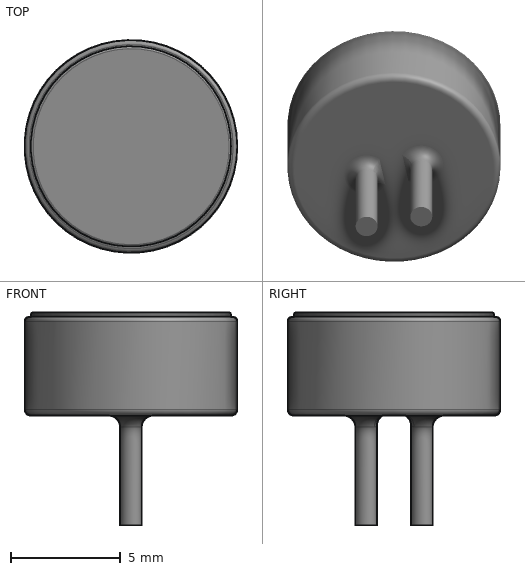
import cadquery as cq

overall_height = 9.7
body_diameter = 9.7
lid_diameter = 9.12
lid_height = 0.2
lid_edge_radius = 0.1
body_top_radius = 0.2
body_bottom_radius = 0.3

pin_diameter = 1.0
pin_length = 5.0
pin_spacing = 2.54
pin_root_radius = 0.5

strip_width = 1.07
strip_length = 2.91
strip_depth = 0.19

body_height = overall_height - pin_length - lid_height
body_top = pin_length + body_height


def make_body():
    """Cylinder with rounded rims, standing on the plane where the pins start."""
    body = cq.Workplane("XY").workplane(offset=pin_length).circle(body_diameter / 2).extrude(body_height)
    body = body.faces(">Z").edges().fillet(body_top_radius)
    return body.faces("<Z").edges().fillet(body_bottom_radius)


def make_lid():
    """Thin raised disc with a rounded upper edge."""
    lid = cq.Workplane("XY").workplane(offset=body_top).circle(lid_diameter / 2).extrude(lid_height)
    return lid.faces(">Z").edges().fillet(lid_edge_radius)


def make_pins():
    """Two straight round pins reaching up to the underside of the body."""
    pin_centers = [(0, -pin_spacing / 2), (0, pin_spacing / 2)]
    return cq.Workplane("XY").pushPoints(pin_centers).circle(pin_diameter / 2).extrude(pin_length)


def make_strip():
    """Block just above the underside, filling the strip between the pins."""
    return cq.Workplane("XY").workplane(offset=pin_length).rect(strip_length, strip_width).extrude(strip_depth)


def fillet_pin_roots(part):
    """Round the circular edges where the pins meet the underside."""
    reach = (pin_spacing + 1.5 * pin_diameter) / 2
    height_margin = 0.01
    root_box = cq.selectors.BoxSelector(
        (-reach, -reach, pin_length - height_margin),
        (reach, reach, pin_length + height_margin),
    )
    return part.edges("%CIRCLE").edges(root_box).fillet(pin_root_radius)


strip = make_strip()
can = make_body().union(make_lid()).cut(strip)
result = fillet_pin_roots(can.union(make_pins())).union(strip)